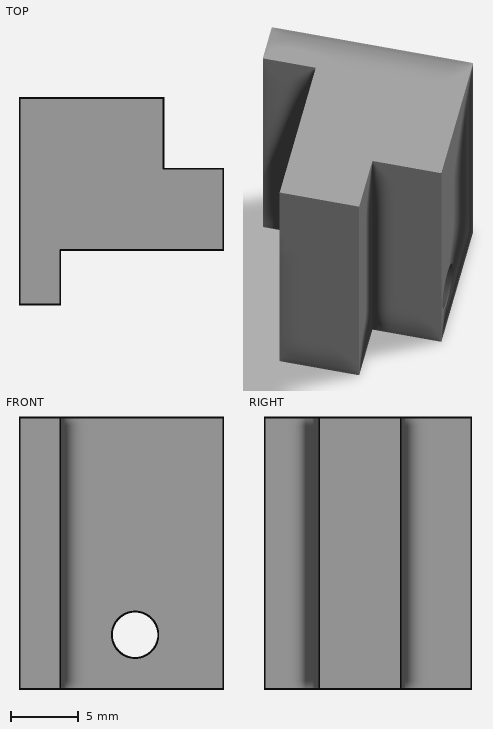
import cadquery as cq

width = 15.0
height = 20.0

lip_depth = 4.0
plate_depth = 6.0
back_depth = 5.2
depth = lip_depth + plate_depth + back_depth

lip_width = 3.0
back_width = 10.6

hole_diameter = 3.4
hole_x = 8.5
hole_z = 4.0


def block(block_width, block_depth, front_y):
    """Full-height block starting at the left face, X = 0."""
    return (
        cq.Workplane("XY")
        .box(block_width, block_depth, height, centered=False)
        .translate((0, front_y, 0))
    )


lip = block(lip_width, depth, 0)
plate = block(width, plate_depth, lip_depth)
back = block(back_width, back_depth, lip_depth + plate_depth)
body = lip.union(plate).union(back).clean()

hole = (
    cq.Workplane("XZ")
    .center(hole_x, hole_z)
    .circle(hole_diameter / 2)
    .extrude(-depth)
)

result = body.cut(hole)